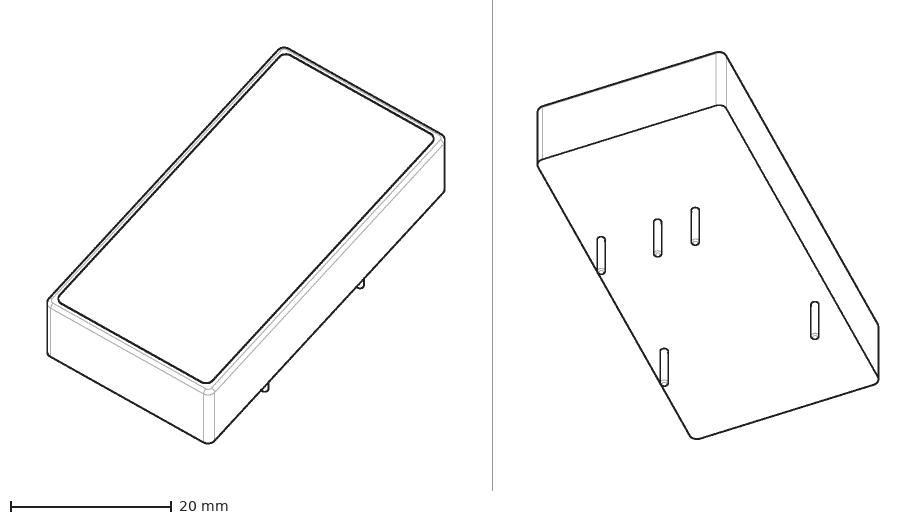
import cadquery as cq

case_width = 25.4
case_length = 50.8
case_height = 10.2
case_corner_radius = 1.0
case_rim_radius = 0.5

label_margin = 1.0
label_thickness = 0.1
label_corner_radius = 1.0

pin_diameter = 1.0
pin_length = 6.0
pin_end_radius = 0.2
grid_pitch = 2.54
row_y = 4 * grid_pitch
inner_pin_x = grid_pitch
outer_pin_x = 4 * grid_pitch

pin_positions = [
    (-outer_pin_x, -row_y),
    (outer_pin_x, -row_y),
    (-inner_pin_x, row_y),
    (inner_pin_x, row_y),
    (outer_pin_x, row_y),
]


def make_case():
    block = cq.Workplane("XY").box(case_width, case_length, case_height, centered=(True, True, False))
    rounded = block.edges("|Z").fillet(case_corner_radius)
    return rounded.faces(">Z").edges().fillet(case_rim_radius)


def make_label():
    width = case_width - 2 * label_margin
    length = case_length - 2 * label_margin
    plate = cq.Workplane("XY", origin=(0, 0, case_height)).rect(width, length).extrude(label_thickness)
    return plate.edges("|Z").fillet(label_corner_radius)


def make_pin(x, y):
    shank = cq.Workplane("XY", origin=(x, y, 0)).circle(pin_diameter / 2).extrude(-pin_length)
    return shank.faces("<Z").edges().fillet(pin_end_radius)


case = make_case()
label = make_label()
pins = [make_pin(x, y) for x, y in pin_positions]

result = cq.Compound.makeCompound([case.val(), label.val(), *[pin.val() for pin in pins]])